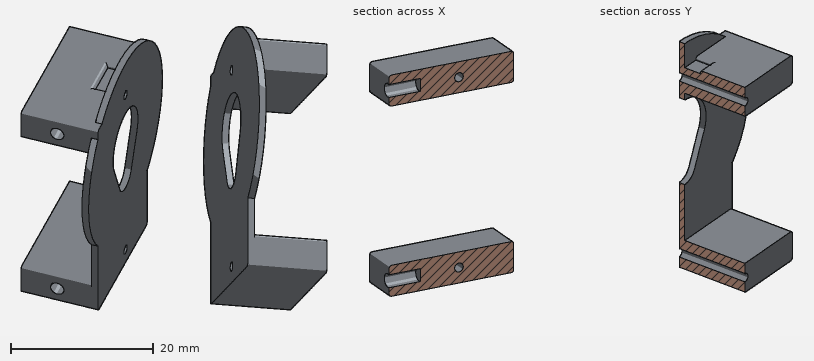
import cadquery as cq
import math

total_depth = 11.55
total_height = 37.05
disc_radius = 14.95
plate_thickness = 1.0
plate_front = total_depth - plate_thickness
disc_center_z = total_height - disc_radius

block_width = 19.95
block_height = 4.78
block_left = -11.2
block_right = block_left + block_width
block_center_y = (block_left + block_right) / 2
block_edge_radius = 0.5
block_spacing = 28.8
block_bottoms = (0, block_spacing)

screw_hole_diameter = 1.3
side_hole_diameter = 2.0
side_hole_depth = 5.0
side_hole_x = 5.45

opening_center_z = 22.75
opening_large_radius = 5.0
opening_small_radius = 2.5
opening_spacing = 6.35

pocket_length = 3.15
pocket_width = 6.15
pocket_depth = 0.52


def make_block(bottom):
    """Block through the full depth, with its four long edges rounded."""
    return (
        cq.Workplane("XY")
        .box(total_depth, block_width, block_height, centered=(False, True, False))
        .edges("|X")
        .fillet(block_edge_radius)
        .translate((0, block_center_y, bottom))
    )


def make_plate():
    """Round plate with a straight leg down to the lower block."""
    leg_bottom = block_height / 2
    leg_height = disc_center_z - leg_bottom
    disc = (
        cq.Workplane("YZ", origin=(plate_front, 0, disc_center_z))
        .circle(disc_radius)
        .extrude(plate_thickness)
    )
    leg = (
        cq.Workplane("XY", origin=(plate_front, block_center_y, leg_bottom))
        .box(plate_thickness, block_width, leg_height, centered=(False, True, False))
    )
    return disc.union(leg)


def make_opening():
    """Teardrop: a large upper arc and a small lower arc joined by tangents."""
    tangent_angle = math.asin((opening_large_radius - opening_small_radius) / opening_spacing)
    across = math.cos(tangent_angle)
    down = math.sin(tangent_angle)
    large_y = opening_large_radius * across
    large_z = -opening_large_radius * down
    small_y = opening_small_radius * across
    small_z = -opening_spacing - opening_small_radius * down
    return (
        cq.Workplane("YZ", origin=(plate_front, 0, opening_center_z))
        .moveTo(-large_y, large_z)
        .threePointArc((0, opening_large_radius), (large_y, large_z))
        .lineTo(small_y, small_z)
        .threePointArc((0, -opening_spacing - opening_small_radius), (-small_y, small_z))
        .close()
        .extrude(plate_thickness)
    )


def make_block_holes(bottom):
    """Screw hole through the depth and a blind hole in the -Y side."""
    hole_z = bottom + block_height / 2
    screw_hole = (
        cq.Workplane("YZ", origin=(0, 0, hole_z))
        .circle(screw_hole_diameter / 2)
        .extrude(total_depth)
    )
    side_hole = (
        cq.Workplane("XZ", origin=(side_hole_x, block_left, hole_z))
        .circle(side_hole_diameter / 2)
        .extrude(-side_hole_depth)
    )
    return screw_hole.union(side_hole)


def make_pocket():
    """Pocket against the plate, with its three other walls rounded outward."""
    top = block_spacing + block_height
    arc_offset = pocket_depth * math.sqrt(0.5)
    side_y = pocket_width / 2
    floor_y = side_y - pocket_depth
    front_x = plate_front - pocket_length
    across_profile = (
        cq.Workplane("YZ", origin=(front_x, 0, top))
        .moveTo(-side_y, 0)
        .threePointArc((arc_offset - side_y, arc_offset - pocket_depth), (-floor_y, -pocket_depth))
        .lineTo(floor_y, -pocket_depth)
        .threePointArc((side_y - arc_offset, arc_offset - pocket_depth), (side_y, 0))
        .close()
        .extrude(pocket_length)
    )
    along_profile = (
        cq.Workplane("XZ", origin=(front_x, 0, top))
        .moveTo(0, 0)
        .threePointArc((arc_offset, arc_offset - pocket_depth), (pocket_depth, -pocket_depth))
        .lineTo(pocket_length, -pocket_depth)
        .lineTo(pocket_length, 0)
        .close()
        .extrude(side_y, both=True)
    )
    return across_profile.intersect(along_profile)


result = make_plate().cut(make_opening())
for block_bottom in block_bottoms:
    result = result.union(make_block(block_bottom))
for block_bottom in block_bottoms:
    result = result.cut(make_block_holes(block_bottom))
result = result.cut(make_pocket())